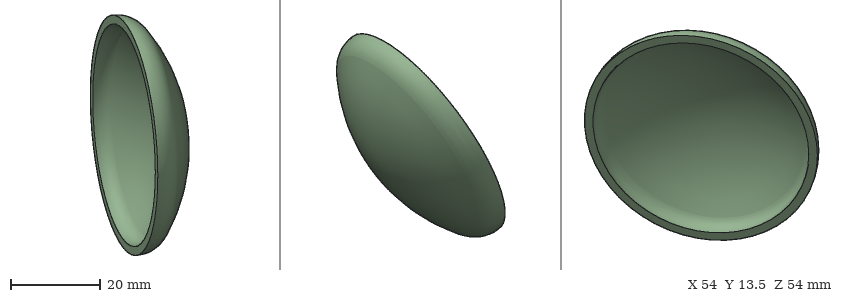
import cadquery as cq
import math

rim_radius = 27.0
height = 13.5
wall = 2.0
lip_height = 0.5
shoulder_radius = 6.0

shoulder_center_x = rim_radius - shoulder_radius
rise = height - lip_height
crown_radius = (shoulder_center_x**2 + rise**2 - shoulder_radius**2) / (2 * (rise - shoulder_radius))
crown_center_y = height - crown_radius

blend_angle = math.atan2(shoulder_center_x, lip_height - crown_center_y)


def shoulder_point(radius, angle):
    """Point on the shoulder arc, with the angle measured from the Y axis."""
    return (
        shoulder_center_x + radius * math.sin(angle),
        lip_height + radius * math.cos(angle),
    )


def crown_point(radius, angle):
    """Point on the crown arc, with the angle measured from the Y axis."""
    return (radius * math.sin(angle), crown_center_y + radius * math.cos(angle))


def domed_solid(inset):
    """Solid dome whose surface lies a given distance inside the outer skin."""
    shoulder = shoulder_radius - inset
    crown = crown_radius - inset
    shoulder_middle_angle = (blend_angle + math.pi / 2) / 2
    return (
        cq.Workplane("XY")
        .lineTo(rim_radius - inset, 0)
        .lineTo(rim_radius - inset, lip_height)
        .threePointArc(
            shoulder_point(shoulder, shoulder_middle_angle),
            shoulder_point(shoulder, blend_angle),
        )
        .threePointArc(crown_point(crown, blend_angle / 2), (0, height - inset))
        .close()
        .revolve(360, (0, 0, 0), (0, 1, 0))
    )


result = domed_solid(0).cut(domed_solid(wall))